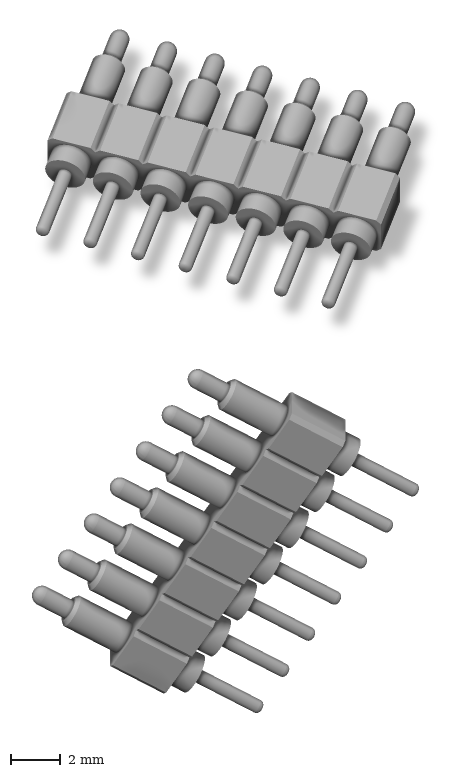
import cadquery as cq
import math

contact_count = 7
pitch = 2.0

block_length = 2.5
block_chamfer = 0.2

barrel_diameter = 1.37
barrel_length = 2.56
barrel_chamfer = 0.15

plunger_diameter = 0.81
plunger_length = 1.64
plunger_tip_radius = 0.4

collar_diameter = 1.68
collar_length = 0.82
tail_diameter = 0.56
tail_length = 3.16
tail_tip_radius = 0.2

block_front = block_length / 2
block_back = -block_length / 2
barrel_end = block_front + barrel_length
plunger_end = barrel_end + plunger_length
collar_end = block_back - collar_length
tail_end = collar_end - tail_length


def make_block():
    """Square block about the contact axis, chamfered along Y."""
    return cq.Workplane("XY").box(pitch, block_length, pitch).edges("|Y").chamfer(block_chamfer)


def make_turned_body():
    """Solid of revolution about Y: tail, collar running through the block, barrel and plunger."""
    tail_r = tail_diameter / 2
    collar_r = collar_diameter / 2
    barrel_r = barrel_diameter / 2
    plunger_r = plunger_diameter / 2
    half_diagonal = math.sqrt(0.5)

    tail_arc_mid = (
        tail_r - tail_tip_radius * (1 - half_diagonal),
        tail_end + tail_tip_radius * (1 - half_diagonal),
    )
    plunger_arc_mid = (
        plunger_r - plunger_tip_radius * (1 - half_diagonal),
        plunger_end - plunger_tip_radius * (1 - half_diagonal),
    )

    return (
        cq.Workplane("XY")
        .moveTo(0, tail_end)
        .lineTo(tail_r - tail_tip_radius, tail_end)
        .threePointArc(tail_arc_mid, (tail_r, tail_end + tail_tip_radius))
        .lineTo(tail_r, collar_end)
        .lineTo(collar_r, collar_end)
        .lineTo(collar_r, block_front)
        .lineTo(barrel_r, block_front)
        .lineTo(barrel_r, barrel_end - barrel_chamfer)
        .lineTo(barrel_r - barrel_chamfer, barrel_end)
        .lineTo(plunger_r, barrel_end)
        .lineTo(plunger_r, plunger_end - plunger_tip_radius)
        .threePointArc(plunger_arc_mid, (plunger_r - plunger_tip_radius, plunger_end))
        .lineTo(0, plunger_end)
        .close()
        .revolve(360, (0, 0, 0), (0, 1, 0))
    )


def make_contact(x):
    """One contact as a single solid, with its axis at the given X."""
    return make_block().union(make_turned_body()).translate((x, 0, 0))


first_x = -pitch * (contact_count - 1) / 2
contacts = []
for index in range(contact_count):
    contacts.append(make_contact(first_x + index * pitch).val())

result = cq.Compound.makeCompound([solid for contact in contacts for solid in contact.Solids()])